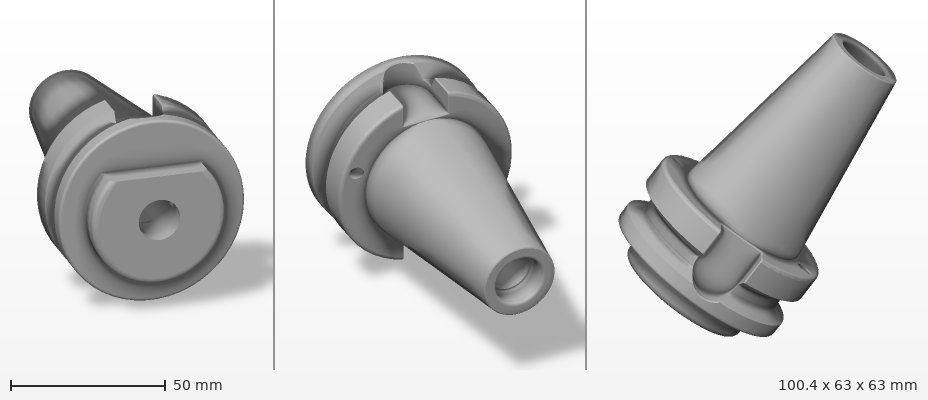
import cadquery as cq
import math

total_length = 100.4
flange_diameter = 63.0
flange_radius = flange_diameter / 2

taper_ratio = 7 / 48
gauge_x = 65.7
gauge_radius = 22.3
taper_tip_chamfer = 0.3
neck_x = 66.7
neck_radius = 22.0

flange_front_x = 67.2
flange_back_x = 92.4
front_rim_fillet = 1.3
back_rim_fillet = 1.0

groove_front_x = 76.9
groove_back_x = 86.9
groove_bottom_radius = 26.5
groove_fillet = 0.7
groove_flank_angle = 60.0

nose_radius = 22.5
nose_root_fillet = 0.7
nose_end_fillet = 2.1
nose_flat_height = 15.3

slot_half_width = 8.0
slot_floor_height = 22.5
slot_end_x = 88.7
slot_center_x = slot_end_x - slot_half_width
slot_chamfer = 0.4
slot_end_chamfer = 0.4

mouth_radius = 9.5
mouth_fillet = 1.1
counterbore_depth = 6.5
counterbore_radius = mouth_radius - mouth_fillet
relief_radius = 7.9
relief_start_x = 7.2
relief_end_x = 7.8
pilot_radius = 7.4
pilot_end_x = 8.2
bore_radius = 7.0
bore_start_x = 9.4

coolant_diameter = 4.2
coolant_circle_radius = 26.9
coolant_tilt = 40.0
coolant_position_angle = 20.0

screw_radius = 5.0
screw_tip_height = 6.4
screw_x = slot_center_x


def revolve_about_x(profile):
    return profile.close().revolve(360, (0, 0, 0), (1, 0, 0))


def make_body_blank():
    """Taper, flange and nose as one solid of revolution."""
    tip_radius = gauge_radius - taper_ratio * gauge_x
    profile = (
        cq.Workplane("XZ")
        .moveTo(0, 0)
        .lineTo(0, tip_radius - taper_tip_chamfer)
        .lineTo(taper_tip_chamfer, tip_radius + taper_ratio * taper_tip_chamfer)
        .lineTo(gauge_x, gauge_radius)
        .lineTo(neck_x, gauge_radius)
        .lineTo(neck_x, neck_radius)
        .lineTo(flange_front_x, neck_radius)
        .lineTo(flange_front_x, flange_radius - front_rim_fillet)
        .radiusArc((flange_front_x + front_rim_fillet, flange_radius), front_rim_fillet)
        .lineTo(flange_back_x - back_rim_fillet, flange_radius)
        .radiusArc((flange_back_x, flange_radius - back_rim_fillet), back_rim_fillet)
        .lineTo(flange_back_x, nose_radius + nose_root_fillet)
        .radiusArc((flange_back_x + nose_root_fillet, nose_radius), -nose_root_fillet)
        .lineTo(total_length - nose_end_fillet, nose_radius)
        .radiusArc((total_length, nose_radius - nose_end_fillet), nose_end_fillet)
        .lineTo(total_length, 0)
    )
    return revolve_about_x(profile)


def make_groove():
    """V groove with rounded bottom corners."""
    flank = math.radians(groove_flank_angle)
    setback = groove_fillet * math.tan(flank / 2)
    flank_run = (flange_radius - groove_bottom_radius) / math.tan(flank)
    front_corner = groove_front_x + flank_run
    back_corner = groove_back_x - flank_run
    along_flank = setback * math.cos(flank)
    up_flank = groove_bottom_radius + setback * math.sin(flank)
    profile = (
        cq.Workplane("XZ")
        .moveTo(groove_front_x, flange_radius)
        .lineTo(front_corner - along_flank, up_flank)
        .radiusArc((front_corner + setback, groove_bottom_radius), -groove_fillet)
        .lineTo(back_corner - setback, groove_bottom_radius)
        .radiusArc((back_corner + along_flank, up_flank), -groove_fillet)
        .lineTo(groove_back_x, flange_radius)
    )
    return revolve_about_x(profile)


def make_bore():
    """Stepped bore through the whole length."""
    profile = (
        cq.Workplane("XZ")
        .moveTo(0, 0)
        .lineTo(0, mouth_radius)
        .radiusArc((mouth_fillet, counterbore_radius), -mouth_fillet)
        .lineTo(counterbore_depth, counterbore_radius)
        .lineTo(relief_start_x, relief_radius)
        .lineTo(relief_end_x, relief_radius)
        .lineTo(relief_end_x, pilot_radius)
        .lineTo(pilot_end_x, pilot_radius)
        .lineTo(bore_start_x, bore_radius)
        .lineTo(total_length, bore_radius)
        .lineTo(total_length, 0)
    )
    return revolve_about_x(profile)


def make_drive_slot(turn):
    """Round-ended slot, open at the flange front, turned about the tool axis."""
    slot = (
        cq.Workplane("XY", origin=(0, 0, slot_floor_height))
        .moveTo(neck_x, -slot_half_width)
        .lineTo(slot_center_x, -slot_half_width)
        .threePointArc((slot_end_x, 0), (slot_center_x, slot_half_width))
        .lineTo(neck_x, slot_half_width)
        .close()
        .extrude(flange_radius)
    )
    return slot.rotate((0, 0, 0), (1, 0, 0), turn)


def chamfer_slot_mouths(holder):
    """Break the outer edges of each slot: front face, front rim and rounded end.

    The slot at the top is treated, then the holder is turned over for the other one.
    """
    margin = 0.1
    bottom = slot_floor_height - margin
    half_width = slot_half_width + margin
    front_edges = cq.selectors.BoxSelector(
        (flange_front_x - margin, -half_width, bottom),
        (flange_front_x + margin, half_width, flange_radius),
    )
    rim_edges = cq.selectors.BoxSelector(
        (flange_front_x + margin, -half_width, flange_radius - 2 * front_rim_fillet),
        (groove_front_x, half_width, flange_radius),
    )
    end_edges = cq.selectors.BoxSelector(
        (groove_back_x, -half_width, groove_bottom_radius),
        (slot_end_x + margin, half_width, flange_radius + margin),
    )
    for _ in range(2):
        holder = holder.edges(front_edges + rim_edges).chamfer(slot_chamfer)
        holder = holder.edges(end_edges).chamfer(slot_end_chamfer)
        holder = holder.rotate((0, 0, 0), (1, 0, 0), 180)
    return holder


def make_coolant_hole(angle):
    """Hole slanting inwards from the flange front face to the bore."""
    tilt = math.radians(coolant_tilt)
    axis = cq.Vector(math.cos(tilt), -math.sin(tilt), 0)
    entry = cq.Vector(flange_front_x, coolant_circle_radius, 0)
    reach = (coolant_circle_radius - bore_radius / 2) / math.sin(tilt)
    lead = coolant_diameter
    hole = cq.Solid.makeCylinder(coolant_diameter / 2, reach + lead, entry - axis * lead, axis)
    return cq.Workplane(hole).rotate((0, 0, 0), (1, 0, 0), angle)


def make_nose_cut():
    """Material removed above the flat on the nose."""
    return cq.Workplane("XY").box(
        total_length - flange_back_x, 2 * flange_radius, flange_radius, centered=(False, True, False)
    ).translate((flange_back_x, 0, nose_flat_height))


def make_screw():
    """Radial clamping screw from the -Z slot floor, its flat tip standing in the bore."""
    length = slot_floor_height - screw_tip_height
    return (
        cq.Workplane("XY", origin=(screw_x, 0, -slot_floor_height))
        .circle(screw_radius)
        .extrude(length)
    )


def make_holder():
    holder = make_body_blank().cut(make_groove())
    for turn in (0, 180):
        holder = holder.cut(make_drive_slot(turn))
    holder = chamfer_slot_mouths(holder)
    holder = holder.cut(make_nose_cut()).cut(make_bore())
    for turn in (0, 180):
        holder = holder.cut(make_coolant_hole(coolant_position_angle + turn))
    return holder.cut(make_screw())


holder = make_holder()
screw = make_screw()

result = cq.Compound.makeCompound([holder.val(), screw.val()])